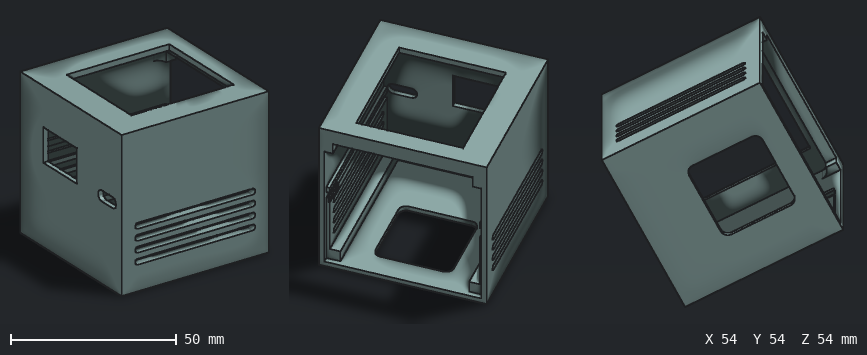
import cadquery as cq


side = 54.0
wall = 1.8
roof = 2.05

back_frame_depth = 3.6
back_corner_radius = 2.7
back_upper_margin = 4.55
back_shoulder_z = 45.15
back_top_z = 48.85

guide_reach = 1.15
guide_end_y = side - wall
lower_guide_top = 25.6
upper_guide_bottom = 27.8
upper_guide_top = 29.75
notch_length = 8.0
notch_depth = guide_reach / 2
notch_bottom = 24.1
floor_ledge_inset = 6.3
floor_ledge_top = 5.65

top_opening_width = 34.35
top_opening_y_min = 10.25
top_opening_y_max = 47.9

floor_opening_width = 25.15
floor_opening_y_min = 21.0
floor_opening_y_max = 46.0
floor_corner_radius = 2.5

window_x_min = 12.25
window_x_max = 30.1
window_z_min = 28.3
window_z_max = 40.2
connector_length = 9.5
connector_height = 3.65
connector_x = 46.3
connector_z = 29.5

vent_count = 4
vent_length = 43.95
vent_height = 2.0
vent_pitch = 2 * vent_height
first_vent_z = 10.0


def block(x_min, x_max, y_min, y_max, z_min, z_max):
    """Box between two opposite corners."""
    size = (x_max - x_min, y_max - y_min, z_max - z_min)
    return cq.Workplane("XY").box(*size, centered=False).translate((x_min, y_min, z_min))


def make_shell():
    """Hollow cube with a stepped opening through its back frame."""
    inner = side - wall
    frame_y = side - back_frame_depth
    cavity = block(wall, inner, wall, frame_y, wall, side - roof)
    cavity = cavity.edges("|Z and >Y").fillet(back_corner_radius)
    start_y = side / 2
    lower_opening = block(wall, inner, start_y, side, wall, back_shoulder_z)
    upper_opening = block(
        back_upper_margin, side - back_upper_margin, start_y, side, wall, back_top_z
    )
    outer = block(0, side, 0, side, 0, side)
    return outer.cut(cavity).cut(lower_opening).cut(upper_opening)


def make_guides():
    """Upper rail, notched lower rail and floor ledge on the +X side wall."""
    inner = side - wall
    guide_x = inner - guide_reach
    upper = block(guide_x, inner, wall, guide_end_y, upper_guide_bottom, upper_guide_top)
    lower = block(guide_x, inner, wall, guide_end_y, wall, lower_guide_top)
    notch = block(
        guide_x, guide_x + notch_depth,
        guide_end_y - notch_length, guide_end_y,
        notch_bottom, lower_guide_top,
    )
    ledge = block(side - floor_ledge_inset, inner, wall, guide_end_y, wall, floor_ledge_top)
    return upper.union(lower.cut(notch)).union(ledge)


def make_top_opening():
    margin = (side - top_opening_width) / 2
    return block(
        margin, side - margin, top_opening_y_min, top_opening_y_max, side - roof, side
    )


def make_floor_opening():
    margin = (side - floor_opening_width) / 2
    opening = block(margin, side - margin, floor_opening_y_min, floor_opening_y_max, 0, wall)
    return opening.edges("|Z").fillet(floor_corner_radius)


def make_front_openings():
    """Rectangular window and round-ended connector slot through the front wall."""
    window = block(window_x_min, window_x_max, 0, wall, window_z_min, window_z_max)
    connector = (
        cq.Workplane("XZ")
        .center(connector_x, connector_z)
        .slot2D(connector_length, connector_height)
        .extrude(-wall)
    )
    return window.union(connector)


def make_vents():
    """Round-ended slots that run through both side walls and their guides."""
    centers = [(side / 2, first_vent_z + i * vent_pitch) for i in range(vent_count)]
    return (
        cq.Workplane("YZ")
        .pushPoints(centers)
        .slot2D(vent_length, vent_height)
        .extrude(side)
    )


guides = make_guides()
mirrored_guides = guides.mirror("YZ", (side / 2, 0, 0))

result = (
    make_shell()
    .union(guides)
    .union(mirrored_guides)
    .cut(make_top_opening())
    .cut(make_floor_opening())
    .cut(make_front_openings())
    .cut(make_vents())
    .solids()
)